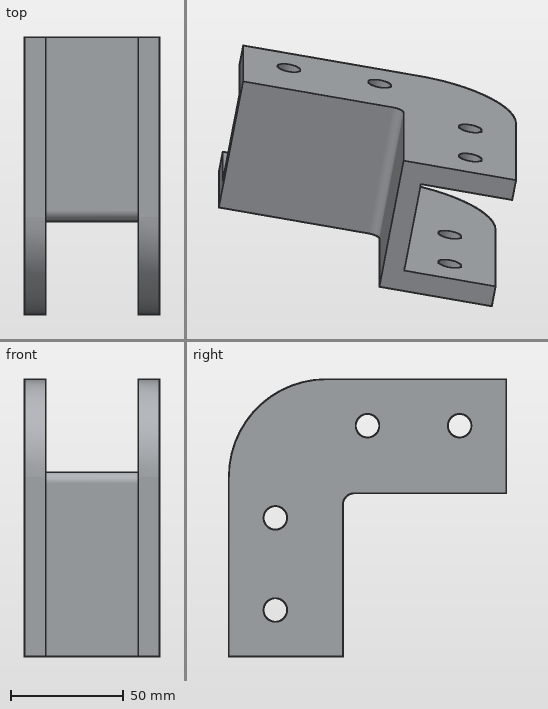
import cadquery as cq

length = 123.8
width = 60.3
plate = 9.5
leg = 51.0
outer_radius = 43.6
bend_radius = 5.0
hole_diameter = 10.4
hole_inset = 20.8
hole_spacing = 41.1

half = length / 2
inner_corner = -half + leg


def l_profile(leg_width, corner_radius):
    """Extruded L across the full width, its inside edges on the inner corner."""
    outer = inner_corner - leg_width
    body = (
        cq.Workplane("YZ")
        .workplane(offset=-width / 2)
        .moveTo(outer, -half)
        .lineTo(inner_corner, -half)
        .lineTo(inner_corner, -inner_corner)
        .lineTo(half, -inner_corner)
        .lineTo(half, -outer)
        .lineTo(outer, -outer)
        .close()
        .extrude(width)
    )
    body = body.edges(cq.NearestToPointSelector((0, outer, -outer))).fillet(corner_radius)
    return body.edges(cq.NearestToPointSelector((0, inner_corner, -inner_corner))).fillet(bend_radius)


gap = cq.Workplane("XY").box(width - 2 * plate, length, length)
side_plates = l_profile(leg, outer_radius).cut(gap)

web = l_profile(plate, bend_radius).intersect(gap)

hole_centres = []
for step in range(2):
    along = half - hole_inset - step * hole_spacing
    hole_centres.append((along, half - hole_inset))
    hole_centres.append((-half + hole_inset, -along))
holes = (
    cq.Workplane("YZ")
    .workplane(offset=-width / 2)
    .pushPoints(hole_centres)
    .circle(hole_diameter / 2)
    .extrude(width)
)

result = side_plates.union(web).cut(holes)